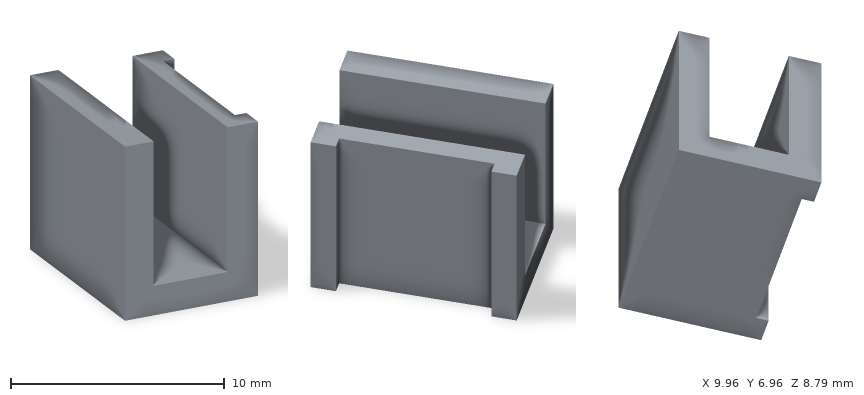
import cadquery as cq

length = 9.96
width = 6.96
height = 8.79

base_thickness = 1.49
front_wall_thickness = 1.49
back_wall_thickness = 1.59

recess_depth = 0.6
recess_end_margin = 1.23

channel_width = width - front_wall_thickness - back_wall_thickness
wall_height = height - base_thickness
recess_length = length - 2 * recess_end_margin


def corner_box(size_x, size_y, size_z, corner):
    """Box whose lowest X, Y and Z corner lies at the given point."""
    return cq.Workplane("XY").box(size_x, size_y, size_z, centered=False).translate(corner)


block = corner_box(length, width, height, (0, 0, 0))

channel = corner_box(
    length, channel_width, wall_height, (0, front_wall_thickness, base_thickness)
)

recess = corner_box(
    recess_length, recess_depth, height, (recess_end_margin, width - recess_depth, 0)
)

result = block.cut(channel).cut(recess)